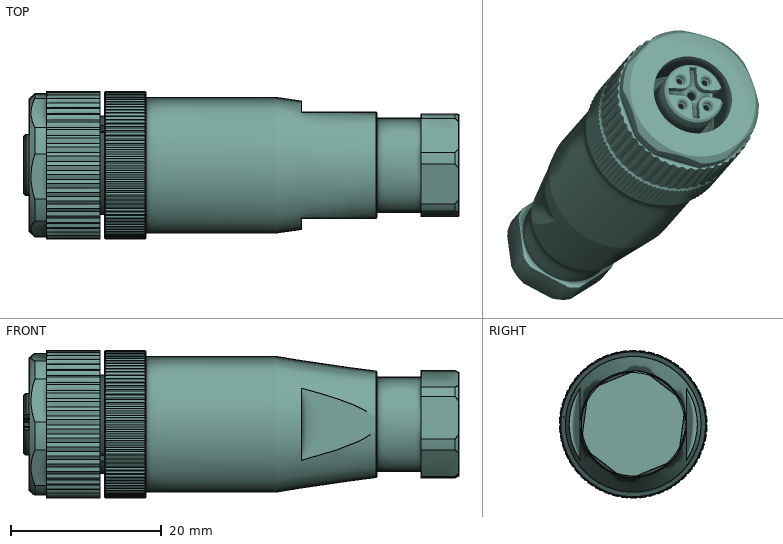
import cadquery as cq
import math


NUT_FRONT = 0.75
NUT_RIDGE_START = 3.05
NUT_REAR = 10.15
COLLAR_START = 10.7
COLLAR_END = 16.25
CONE_START = 33.4
FLAT_START = 36.85
CONE_END = 46.85
GLAND_START = 52.7
LENGTH = 57.7

RIDGE_D = 19.6
BODY_D = 18.0
CONE_END_D = 14.1
NECK_D = 12.5
SHOULDER_D = 13.1
CORE_D = 10.92
INSERT_D = 8.2

NUT_GRIP_D = 19.0
NUT_FACE_D = 17.55
NUT_CHAMFER_LENGTH = 0.75
NUT_ACROSS_FLATS = 18.0
NUT_FLAT_ANGLE = 20.4
NUT_BORE_D = 10.95
NUT_RIDGES = 50
NUT_RIDGE_DEPTH = 0.3
NUT_RIDGE_PHASE = -3.6

COLLAR_RIDGES = 100
COLLAR_RIDGE_DEPTH = 0.15
COLLAR_RIDGE_PHASE = -2.0
COLLAR_CHAMFER = 0.2
STEEP_SHARE = 0.43

SHOULDER_SLOT_WIDTH = 1.35
SHOULDER_SLOT_ANGLE = -42.5

SIDE_FLAT_SPACING = 14.06
CONE_LIP = 0.15

GLAND_D = 14.2
GLAND_ACROSS_FLATS = 13.0
GLAND_FLAT_ANGLE = 7.6
GLAND_CHAMFER = 0.25
GLAND_CHAMFER_LENGTH = 0.5

SEAL_X = 8.0
SEAL_SECTION_D = 1.1
SEAL_MEAN_D = 9.2
INSERT_LENGTH = SEAL_X - SEAL_SECTION_D / 2

INSERT_CHAMFER = 0.3
INSERT_CHAMFER_LENGTH = 0.3
INSERT_ANGLE = 4.0
CROSS_WIDTH = 1.0
CROSS_DEPTH = 1.0
CROSS_D = 7.3
PAD_CORNER_RADIUS = 1.25
KEYWAY_FLOOR = 2.87
KEYWAY_FLARE_START = 3.3
KEYWAY_WIDTH = 1.2
KEYWAY_MOUTH = 2.2

CONTACT_CIRCLE_D = 5.0
CONTACT_COUNT = 4
ENTRY_D = 1.65
CENTRE_ENTRY_D = 1.7
ENTRY_BORE_D = 1.2
ENTRY_DEPTH = 0.25
SLEEVE_FACE_DEPTH = 0.6
SLEEVE_MOUTH_D = 1.05
SLEEVE_MOUTH_DEPTH = 0.1
SLEEVE_BORE_D = 0.8
SLEEVE_BORE_DEPTH = 4.0


def section(x):
    """Cross-section plane at X = x whose extrusions run toward +X (local axes: Y, Z)."""
    return cq.Workplane("YZ", origin=(x, 0, 0))


def spun(solid, angle):
    """Turn a solid about X, from -Y toward +Z for a positive angle."""
    return solid.rotate((0, 0, 0), (1, 0, 0), -angle)


def turned(profile):
    """Solid of revolution about X from (x, radius) points ending on the axis."""
    return cq.Workplane("XY").polyline(profile).close().revolve(360, (0, 0, 0), (1, 0, 0))


def ridged_ring(start, end, count, depth, phase):
    """Disc with saw-tooth ridges: each one falls steeply and climbs gently back."""
    tip = RIDGE_D / 2
    root = tip - depth
    pitch = 360 / count
    outline = []
    for i in range(count):
        for radius, offset in ((tip, 0), (root, STEEP_SHARE * pitch)):
            angle = math.radians(phase + i * pitch + offset)
            outline.append((-radius * math.cos(angle), radius * math.sin(angle)))
    return section(start).polyline(outline).close().extrude(end - start)


def hexagon(start, end, across_flats, flat_angle):
    """Hexagonal bar with one flat facing flat_angle."""
    corner_d = across_flats / math.cos(math.radians(30))
    bar = section(start).polygon(6, corner_d).extrude(end - start)
    return spun(bar, flat_angle + 30)


def make_coupling_nut():
    grip = turned([
        (NUT_FRONT, 0),
        (NUT_FRONT, NUT_FACE_D / 2),
        (NUT_FRONT + NUT_CHAMFER_LENGTH, NUT_GRIP_D / 2),
        (NUT_RIDGE_START, NUT_GRIP_D / 2),
        (NUT_RIDGE_START, 0),
    ])
    grip = grip.intersect(hexagon(NUT_FRONT, NUT_RIDGE_START, NUT_ACROSS_FLATS, NUT_FLAT_ANGLE))
    ridges = ridged_ring(NUT_RIDGE_START, NUT_REAR, NUT_RIDGES, NUT_RIDGE_DEPTH, NUT_RIDGE_PHASE)
    bore = section(NUT_FRONT).circle(NUT_BORE_D / 2).extrude(NUT_REAR - NUT_FRONT)
    return grip.union(ridges).cut(bore)


def make_core():
    """Insert, core behind it and the wider shoulder behind the nut."""
    insert_r = INSERT_D / 2
    return turned([
        (0, 0),
        (0, insert_r - INSERT_CHAMFER),
        (INSERT_CHAMFER_LENGTH, insert_r),
        (SEAL_X, insert_r),
        (SEAL_X, CORE_D / 2),
        (NUT_REAR, CORE_D / 2),
        (NUT_REAR, SHOULDER_D / 2),
        (COLLAR_START, SHOULDER_D / 2),
        (COLLAR_START, 0),
    ])


def make_seal_bead():
    """Round bead at the root of the insert, half sunk into the core face."""
    return cq.Workplane(cq.Solid.makeTorus(
        SEAL_MEAN_D / 2, SEAL_SECTION_D / 2, cq.Vector(SEAL_X, 0, 0), cq.Vector(1, 0, 0)
    ))


def make_cross_recess():
    """Cross-shaped recess that leaves a rounded pad around each contact."""
    disc = section(0).circle(CROSS_D / 2).extrude(CROSS_DEPTH)
    pad_size = CROSS_D
    pad_place = (CROSS_WIDTH + pad_size) / 2
    pads = (
        section(0)
        .rect(2 * pad_place, 2 * pad_place, forConstruction=True)
        .vertices()
        .rect(pad_size, pad_size)
        .extrude(CROSS_DEPTH)
        .edges("|X")
        .fillet(PAD_CORNER_RADIUS)
    )
    return disc.cut(pads)


def make_keyway():
    """Groove in the -Y side of the insert: straight walls that flare toward the rim."""
    half_slot = KEYWAY_WIDTH / 2
    half_mouth = KEYWAY_MOUTH / 2
    rim = INSERT_D / 2
    outline = [
        (-KEYWAY_FLOOR, half_slot),
        (-KEYWAY_FLARE_START, half_slot),
        (-rim, half_mouth),
        (-rim, -half_mouth),
        (-KEYWAY_FLARE_START, -half_slot),
        (-KEYWAY_FLOOR, -half_slot),
    ]
    return section(0).polyline(outline).close().extrude(INSERT_LENGTH)


def make_contact_hole():
    """Countersunk entry, bore down to the contact sleeve, then the flared, drilled sleeve bore."""
    sleeve_r = SLEEVE_BORE_D / 2
    return turned([
        (0, 0),
        (0, ENTRY_D / 2),
        (ENTRY_DEPTH, ENTRY_BORE_D / 2),
        (SLEEVE_FACE_DEPTH, ENTRY_BORE_D / 2),
        (SLEEVE_FACE_DEPTH, SLEEVE_MOUTH_D / 2),
        (SLEEVE_FACE_DEPTH + SLEEVE_MOUTH_DEPTH, sleeve_r),
        (SLEEVE_BORE_DEPTH, sleeve_r),
        (SLEEVE_BORE_DEPTH + sleeve_r, 0),
    ])


def make_centre_hole():
    """Countersunk flat-bottomed hole in the floor of the cross recess."""
    return turned([
        (CROSS_DEPTH, 0),
        (CROSS_DEPTH, CENTRE_ENTRY_D / 2),
        (CROSS_DEPTH + ENTRY_DEPTH, ENTRY_BORE_D / 2),
        (SLEEVE_BORE_DEPTH, ENTRY_BORE_D / 2),
        (SLEEVE_BORE_DEPTH, 0),
    ])


def make_shoulder_slots():
    """Two opposite slots across the shoulder, down to the core."""
    bar = section(NUT_REAR).rect(2 * SHOULDER_D, SHOULDER_SLOT_WIDTH).extrude(COLLAR_START - NUT_REAR)
    core = section(NUT_REAR).circle(CORE_D / 2).extrude(COLLAR_START - NUT_REAR)
    return spun(bar.cut(core), SHOULDER_SLOT_ANGLE)


def make_collar():
    ridges = ridged_ring(
        COLLAR_START, COLLAR_END, COLLAR_RIDGES, COLLAR_RIDGE_DEPTH, COLLAR_RIDGE_PHASE
    )
    envelope = (
        section(COLLAR_START)
        .circle(RIDGE_D / 2)
        .extrude(COLLAR_END - COLLAR_START)
        .edges()
        .chamfer(COLLAR_CHAMFER)
    )
    return ridges.intersect(envelope)


def make_barrel():
    """Straight barrel, tapered end with two side flats, and the slim neck."""
    cone_end_r = CONE_END_D / 2
    barrel = turned([
        (COLLAR_END, 0),
        (COLLAR_END, BODY_D / 2),
        (CONE_START, BODY_D / 2),
        (CONE_END - CONE_LIP, cone_end_r),
        (CONE_END, cone_end_r - CONE_LIP),
        (CONE_END, NECK_D / 2),
        (GLAND_START, NECK_D / 2),
        (GLAND_START, 0),
    ])
    flat_length = CONE_END - FLAT_START
    side_cuts = (
        section(FLAT_START)
        .rect(2 * BODY_D, BODY_D)
        .rect(SIDE_FLAT_SPACING, BODY_D)
        .extrude(flat_length)
    )
    return barrel.cut(side_cuts)


def make_gland():
    round_bar = turned([
        (GLAND_START, 0),
        (GLAND_START, GLAND_D / 2),
        (LENGTH - GLAND_CHAMFER_LENGTH, GLAND_D / 2),
        (LENGTH, GLAND_D / 2 - GLAND_CHAMFER),
        (LENGTH, 0),
    ])
    return round_bar.intersect(hexagon(GLAND_START, LENGTH, GLAND_ACROSS_FLATS, GLAND_FLAT_ANGLE))


def make_housing():
    core = make_core().cut(spun(make_cross_recess(), INSERT_ANGLE))
    core = core.cut(spun(make_keyway(), INSERT_ANGLE))
    contact_hole = make_contact_hole().translate((0, 0, CONTACT_CIRCLE_D / 2))
    for i in range(CONTACT_COUNT):
        core = core.cut(spun(contact_hole, INSERT_ANGLE + 45 + i * 360 / CONTACT_COUNT))
    core = core.cut(make_centre_hole()).cut(make_shoulder_slots())
    core = core.union(make_seal_bead())
    return core.union(make_collar()).union(make_barrel()).union(make_gland())


coupling_nut = make_coupling_nut()
housing = make_housing()

result = cq.Compound.makeCompound([coupling_nut.val(), housing.val()])